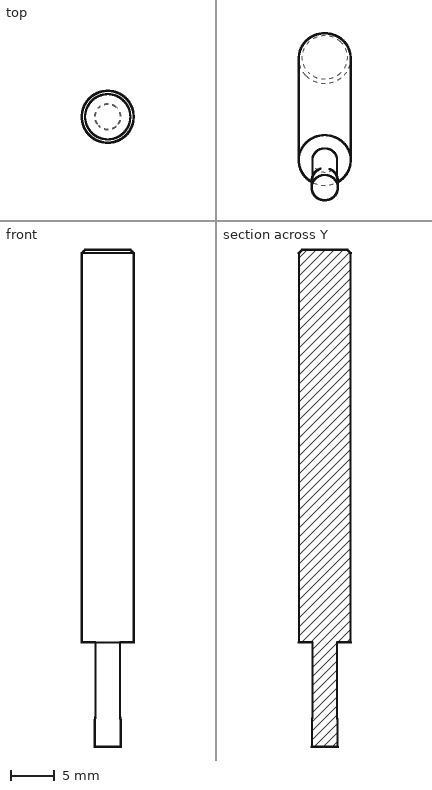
import cadquery as cq

total_length = 57.0
shank_diameter = 6.0
shank_length = 45.05
shank_chamfer = 0.4
tip_diameter = 3.0
tip_length = 3.0
neck_diameter = 2.85
taper_length = 0.4

shank_radius = shank_diameter / 2
tip_radius = tip_diameter / 2
neck_radius = neck_diameter / 2
shank_bottom = total_length - shank_length
neck_bottom = tip_length + taper_length

half_profile = (
    cq.Workplane("XZ")
    .moveTo(0, 0)
    .lineTo(tip_radius, 0)
    .lineTo(tip_radius, tip_length)
    .lineTo(neck_radius, neck_bottom)
    .lineTo(neck_radius, shank_bottom)
    .lineTo(shank_radius, shank_bottom)
    .lineTo(shank_radius, total_length - shank_chamfer)
    .lineTo(shank_radius - shank_chamfer, total_length)
    .lineTo(0, total_length)
    .close()
)

result = half_profile.revolve(360, (0, 0, 0), (0, 1, 0))